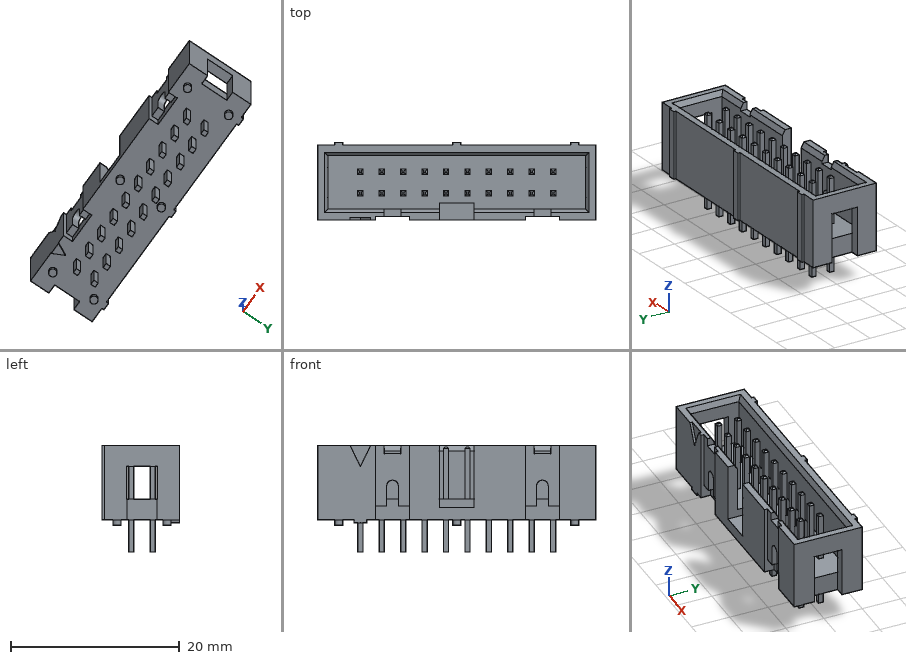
import cadquery as cq


length = 33.02
depth = 8.9
height = 8.85
floor_top = 2.48
end_wall = 1.22
side_wall = 1.3
lead_in_width = 0.4
lead_in_height = 0.7

columns = 10
rows = 2
pitch = length / (columns + 3)
pin_width = 0.63
pin_tail = 3.8
pin_top_gap = 0.2
pin_tip_chamfer = 0.2

key_width = 4.1
key_bottom = 1.5
key_reach = 2.05

latch_places = (-3 * pitch, 4 * pitch)
latch_width = 4.0
latch_depth = 0.4
foot_height = 1.7
arch_width = 1.4
arch_top = 4.72
rim_notch_width = 1.98
rim_notch_depth = 1.0

window_width = 3.6
window_top = 6.37

end_support_x = 14.0
support_places = (-end_support_x, 0, end_support_x)
rib_width = 1.0
rib_depth = 0.3
standoff_diameter = 1.0
standoff_height = 0.63
standoff_offset = 2.97

mark_width = 2.45
mark_height = 2.5
mark_depth = 0.3
foot_mark_width = 1.52
foot_mark_reach = 1.52
foot_mark_height = 0.33

front = -depth / 2
back = depth / 2
first_pin_x = -(columns - 1) / 2 * pitch


def block(x_mid, x_size, y_low, y_high, z_low, z_high):
    """Box centred on x_mid along X, with given Y and Z limits."""
    size = (x_size, y_high - y_low, z_high - z_low)
    return cq.Workplane("XY").box(*size, centered=(True, False, False)).translate((x_mid, y_low, z_low))


def make_cavity():
    """Mating cavity with a sloped lead-in around its rim."""
    inner_length = length - 2 * end_wall
    inner_depth = depth - 2 * side_wall
    well = block(0, inner_length, -inner_depth / 2, inner_depth / 2, floor_top, height)
    lead_in = (
        cq.Workplane("XY", origin=(0, 0, height - lead_in_height))
        .rect(inner_length, inner_depth)
        .workplane(offset=lead_in_height)
        .rect(inner_length + 2 * lead_in_width, inner_depth + 2 * lead_in_width)
        .loft(ruled=True)
    )
    return well.union(lead_in)


def make_latch_cut(x):
    """Shallow recess, foot opening, arched slot and rim notch at one latch place."""
    inner_face = front + side_wall
    arch_radius = arch_width / 2
    arch_spring = arch_top - arch_radius
    recess = block(x, latch_width, front, front + latch_depth, 0, height)
    foot = block(x, latch_width, front, inner_face, 0, foot_height)
    rim_notch = block(x, rim_notch_width, front, inner_face, height - rim_notch_depth, height)
    arch = (
        cq.Workplane("XZ", origin=(x, inner_face, 0))
        .moveTo(-arch_radius, 0)
        .lineTo(-arch_radius, arch_spring)
        .threePointArc((0, arch_top), (arch_radius, arch_spring))
        .lineTo(arch_radius, 0)
        .close()
        .extrude(side_wall)
    )
    return recess.union(foot).union(rim_notch).union(arch)


def make_window_cut(x_mid):
    """Opening through one end wall, running down to the underside."""
    return block(x_mid, end_wall, -window_width / 2, window_width / 2, 0, window_top)


def make_pin_one_mark():
    """Triangular groove below the rim of the keyed wall, pointing at pin 1."""
    return (
        cq.Workplane("XZ", origin=(first_pin_x, front + mark_depth, height))
        .polyline([(-mark_width / 2, 0), (mark_width / 2, 0), (0, -mark_height)])
        .close()
        .extrude(mark_depth)
    )


def make_foot_mark():
    """Triangular pad under the housing, pointing inward at pin 1."""
    return (
        cq.Workplane("XY", origin=(first_pin_x, front, 0))
        .polyline([(-foot_mark_width / 2, 0), (foot_mark_width / 2, 0), (0, foot_mark_reach)])
        .close()
        .extrude(-foot_mark_height)
    )


def make_pins():
    """All pins, square with chamfered mating tips."""
    pin_length = pin_tail + height - pin_top_gap
    return (
        cq.Workplane("XY", origin=(0, 0, -pin_tail))
        .rarray(pitch, pitch, columns, rows)
        .rect(pin_width, pin_width)
        .extrude(pin_length)
        .faces(">Z")
        .chamfer(pin_tip_chamfer)
    )


housing = block(0, length, front, back, 0, height).cut(make_cavity())
housing = housing.cut(block(0, key_width, front, front + key_reach, key_bottom, height))
for latch_x in latch_places:
    housing = housing.cut(make_latch_cut(latch_x))
for end in (-1, 1):
    housing = housing.cut(make_window_cut(end * (length - end_wall) / 2))
housing = housing.cut(make_pin_one_mark()).union(make_foot_mark())

for support_x in support_places:
    housing = housing.union(block(support_x, rib_width, back, back + rib_depth, 0, height))

standoffs = (
    cq.Workplane("XY")
    .pushPoints([(x, y) for x in support_places for y in (-standoff_offset, standoff_offset)])
    .circle(standoff_diameter / 2)
    .extrude(-standoff_height)
)

result = housing.union(standoffs).union(make_pins())